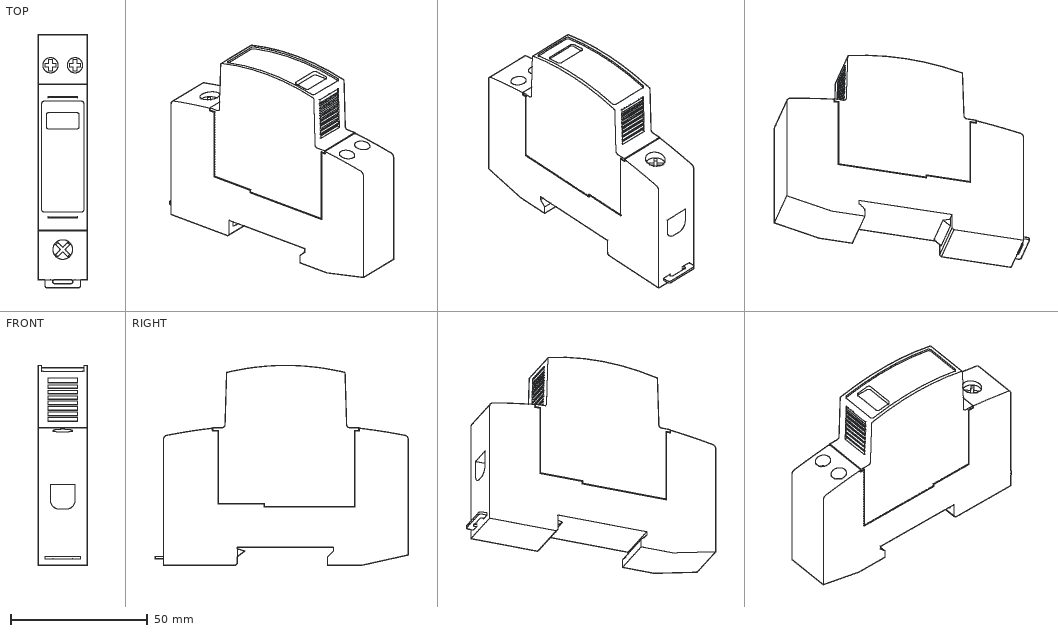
import cadquery as cq
import math


width = 18.0
body_length = 90.0
height = 73.51
half_width = width / 2
half_length = body_length / 2

overlap = 1.0
clearance = 1.0

head_top_half = 21.8
head_foot_half = 22.4
crown_edge_z = 70.9
crown_rise = height - crown_edge_z
crown_radius = (head_top_half**2 + crown_rise**2) / (2 * crown_rise)
crown_corner_radius = 0.5
head_foot_radius = 1.0

flange_half = 27.0
flange_z = 50.65
shoulder_radius = 230.0
shoulder_apex_z = 52.03
shoulder_corner_radius = 1.7

heel_z = 3.8
heel_y = 27.9
rail_roof_z = 6.65
rail_front_y = -17.8
rail_rear_y = 17.5
rail_lip_y = 15.3
rail_lip_low_z = 3.1
rail_lip_high_z = 5.3
rail_front_chamfer = 0.7

slider_width = 13.2
tab_reach = 3.0
tab_low_z = 2.4
tab_thickness = 0.9
tab_corner_radius = 1.0
tab_slot_length = 7.3
tab_slot_width = 1.4
latch_tip = (-15.0, 5.3)
latch_low_z = 3.2
latch_high_z = 6.15

gap_width = 0.2
gap_depth = 0.5
flange_low_z = 49.4
cartridge_rear_y = 25.4
cartridge_front_y = -24.9
cartridge_floor_z = 21.5
cartridge_step_z = 22.5
cartridge_step_y = -8.1

label_width = 15.5
label_front_y = -20.1
label_rear_y = 20.6
label_depth = 0.75
label_corner_radius = 0.9
window_width = 12.1
window_front_y = 10.4
window_rear_y = 16.4
window_floor_z = 70.6
window_corner_radius = 0.9

louvre_count = 8
louvre_width = 11.0
louvre_pitch = 2.0
louvre_opening = 1.5
louvre_bottom_z = 52.8
louvre_drop = 0.3
louvre_back_y = 21.4

front_screw_y = -33.9
front_screw_diameter = 7.2
front_screw_head_z = 47.2
front_cross_length = 6.2
front_cross_width = 1.15
rear_screw_x = 4.5
rear_screw_y = 33.8
rear_screw_diameter = 5.6
rear_screw_head_z = 44.5
rear_cross_length = 4.1
rear_cross_width = 1.3
cross_depth = 1.0
wire_entry_size = 9.1
wire_entry_low_z = 20.65
wire_entry_radius = 3.4
wire_entry_depth = 12.0


def arc_height(y, apex_z, radius):
    """Height at y of an arc in the YZ plane with its apex on y = 0."""
    return apex_z - radius + math.sqrt(radius**2 - y**2)


def shoulder_point(y):
    return (y, arc_height(y, shoulder_apex_z, shoulder_radius))


def crown_point(y, drop=0.0):
    return (y, arc_height(y, height - drop, crown_radius - drop))


def prism(points, length):
    """Straight-sided YZ outline extruded along X, centred on the module."""
    return cq.Workplane("YZ").polyline(points).close().extrude(length / 2, both=True)


def vertical_block(size_x, front_y, rear_y, low_z, high_z, corner_radius):
    """Block centred on X whose vertical edges are rounded."""
    block = cq.Workplane("XY").box(size_x, rear_y - front_y, high_z - low_z, centered=(True, False, False))
    return block.edges("|Z").fillet(corner_radius).translate((0, front_y, low_z))


def round_edge(body, point, radius):
    """Round the edge along X that passes nearest the given (y, z) point."""
    return body.edges(cq.NearestToPointSelector((0, *point))).fillet(radius)


def make_body():
    shoulder_mid_y = (flange_half + half_length) / 2
    body = (
        cq.Workplane("YZ")
        .moveTo(-half_length, 0)
        .lineTo(*shoulder_point(-half_length))
        .threePointArc(shoulder_point(-shoulder_mid_y), shoulder_point(-flange_half))
        .lineTo(-flange_half, flange_z)
        .lineTo(-head_foot_half, flange_z)
        .lineTo(*crown_point(-head_top_half))
        .threePointArc((0, height), crown_point(head_top_half))
        .lineTo(head_foot_half, flange_z)
        .lineTo(flange_half, flange_z)
        .lineTo(*shoulder_point(flange_half))
        .threePointArc(shoulder_point(shoulder_mid_y), shoulder_point(half_length))
        .lineTo(half_length, heel_z)
        .lineTo(heel_y, 0)
        .lineTo(rail_lip_y, 0)
        .lineTo(rail_lip_y, rail_lip_low_z)
        .lineTo(rail_rear_y, rail_lip_high_z)
        .lineTo(rail_rear_y, rail_roof_z)
        .lineTo(rail_front_y, rail_roof_z)
        .lineTo(rail_front_y, rail_front_chamfer)
        .lineTo(rail_front_y - rail_front_chamfer, 0)
        .close()
        .extrude(half_width, both=True)
    )
    for side in (-1, 1):
        body = round_edge(body, shoulder_point(side * half_length), shoulder_corner_radius)
        body = round_edge(body, (side * head_foot_half, flange_z), head_foot_radius)
        body = round_edge(body, crown_point(side * head_top_half), crown_corner_radius)
    return body


def make_slider():
    tab_root_y = -half_length
    tab_tip_y = tab_root_y - tab_reach
    tab = (
        cq.Workplane("XY")
        .box(slider_width, tab_reach + overlap, tab_thickness, centered=(True, False, False))
        .edges("|Z and <Y")
        .fillet(tab_corner_radius)
        .translate((0, tab_tip_y, tab_low_z))
    )
    slot = (
        cq.Workplane("XY", origin=(0, tab_root_y - tab_slot_width / 2, tab_low_z))
        .slot2D(tab_slot_length, tab_slot_width)
        .extrude(tab_thickness)
    )
    latch = prism(
        [
            latch_tip,
            (rail_front_y, latch_high_z),
            (rail_front_y - overlap, latch_high_z),
            (rail_front_y - overlap, latch_low_z),
            (rail_front_y, latch_low_z),
        ],
        slider_width,
    )
    return tab.cut(slot), latch


def cartridge_outline():
    """T-shaped outline of the plug-in cartridge below the flange top."""
    clear_z = flange_z + clearance
    return cq.Workplane("YZ").polyline(
        [
            (flange_half, clear_z),
            (flange_half, flange_low_z),
            (cartridge_rear_y, flange_low_z),
            (cartridge_rear_y, cartridge_floor_z),
            (cartridge_step_y, cartridge_floor_z),
            (cartridge_step_y, cartridge_step_z),
            (cartridge_front_y, cartridge_step_z),
            (cartridge_front_y, flange_low_z),
            (-flange_half, flange_low_z),
            (-flange_half, clear_z),
        ]
    ).close()


def centred_block(size_x, high_z):
    """Block standing on Z = 0, as long as the base."""
    return cq.Workplane("XY").box(size_x, body_length, high_z, centered=(True, True, False))


def make_parting_gap():
    """Groove around the cartridge on both sides, joined by slits across the top."""
    outer = cartridge_outline().extrude(half_width, both=True)
    inner = cartridge_outline().offset2D(-gap_width, "intersection").extrude(half_width, both=True)
    ring = outer.cut(inner).intersect(centred_block(width, flange_z))
    core = centred_block(width - 2 * gap_depth, flange_low_z + gap_width)
    return ring.cut(core)


def make_label_recess():
    """Recess whose floor follows the crown, and the flat-floored window in it."""
    clear_z = height + clearance
    recess = vertical_block(label_width, label_front_y, label_rear_y, flange_z, clear_z, label_corner_radius)
    above_floor = (
        cq.Workplane("YZ")
        .moveTo(*crown_point(-head_top_half, label_depth))
        .threePointArc(crown_point(0, label_depth), crown_point(head_top_half, label_depth))
        .lineTo(head_top_half, clear_z)
        .lineTo(-head_top_half, clear_z)
        .close()
        .extrude(half_width, both=True)
    )
    window = vertical_block(
        window_width, window_front_y, window_rear_y, window_floor_z, clear_z, window_corner_radius
    )
    return recess.intersect(above_floor), window


def make_louvre(bottom_z, opening):
    """Slot in the rear wall with a sill that falls toward the outside."""
    mouth_y = head_foot_half
    sill = [(louvre_back_y, bottom_z + louvre_drop), (mouth_y, bottom_z)]
    lintel = [(mouth_y, bottom_z + opening), (louvre_back_y, bottom_z + opening)]
    return prism(sill + lintel, louvre_width)


def cut_louvres(body):
    for row in range(louvre_count):
        is_top_row = row == louvre_count - 1
        opening = louvre_pitch if is_top_row else louvre_opening
        louvre = make_louvre(louvre_bottom_z + row * louvre_pitch, opening)
        body = body.cut(louvre).cut(louvre.mirror("XZ"))
    return body


def make_screw_hole(x, y, head_z, diameter, cross_length, cross_width, turn):
    """Access bore down to a screw head with a cross recess."""
    bore = cq.Workplane("XY").circle(diameter / 2).extrude(height - head_z)
    for angle in (turn, turn + 90):
        arm = cq.Workplane("XY").box(cross_length, cross_width, cross_depth, centered=(True, True, False))
        arm = arm.rotate((0, 0, 0), (0, 0, 1), angle).translate((0, 0, -cross_depth))
        bore = bore.union(arm)
    return bore.translate((x, y, head_z))


def cut_terminals(body):
    body = body.cut(
        make_screw_hole(
            0, front_screw_y, front_screw_head_z, front_screw_diameter,
            front_cross_length, front_cross_width, 45,
        )
    )
    for x in (-rear_screw_x, rear_screw_x):
        body = body.cut(
            make_screw_hole(
                x, rear_screw_y, rear_screw_head_z, rear_screw_diameter,
                rear_cross_length, rear_cross_width, 0,
            )
        )
    wire_entry = (
        cq.Workplane("XY")
        .box(wire_entry_size, wire_entry_depth, wire_entry_size, centered=(True, False, False))
        .edges("|Y and <Z")
        .fillet(wire_entry_radius)
        .translate((0, -half_length, wire_entry_low_z))
    )
    return body.cut(wire_entry)


body = make_body()
body = body.cut(make_parting_gap())
label_recess, window = make_label_recess()
body = body.cut(label_recess).cut(window)
body = cut_louvres(body)
body = cut_terminals(body)
tab, latch = make_slider()
result = body.union(tab).union(latch)